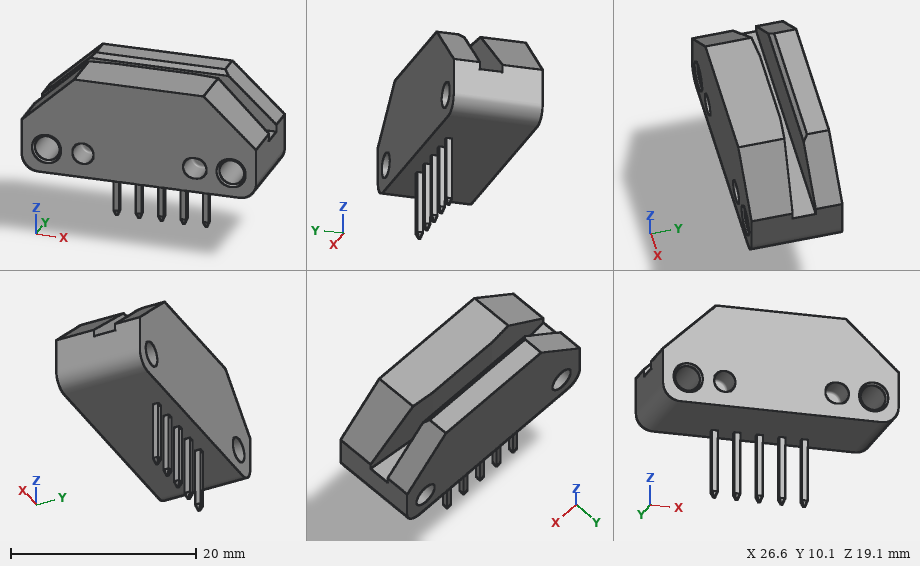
import cadquery as cq
import math

body_length = 26.62
body_depth = 10.11
body_height = 11.43
back_y = 2.07
front_y = back_y - body_depth
half_length = body_length / 2
top_half_length = 7.34
shoulder_height = 5.90
corner_radius = 1.905

slot_floor_z = 5.08
back_wall_thickness = 2.97
narrow_slot_width = 1.75
flare_start = 4.57
flare_angle = 5.4
lead_in = 0.51

hole_z = 2.80
mount_half_spacing = 10.48
mount_diameter = 2.80
mount_chamfer = 0.25

locator_half_spacing = 6.35
locator_radius = 1.20
locator_depth = 3.0
locator_floor_fillet = 0.25
oblong_stretch = 0.25

pin_count = 5
pin_pitch = 2.54
pin_width = 0.635
pin_length = 7.62
tip_length = 0.635
tip_width = 0.16


def make_body():
    outline = (
        cq.Workplane("XZ", origin=(0, back_y, 0))
        .moveTo(-half_length, 0)
        .lineTo(half_length, 0)
        .lineTo(half_length, shoulder_height)
        .lineTo(top_half_length, body_height)
        .lineTo(-top_half_length, body_height)
        .lineTo(-half_length, shoulder_height)
        .close()
    )
    return outline.extrude(body_depth).edges("|Y and <Z").fillet(corner_radius)


def make_slot():
    back_wall_y = back_y - back_wall_thickness
    narrow_y = back_wall_y - narrow_slot_width
    flared_y = narrow_y - (half_length - flare_start) * math.tan(math.radians(flare_angle))
    channel = (
        cq.Workplane("XY", origin=(0, 0, slot_floor_z))
        .moveTo(-half_length, back_wall_y)
        .lineTo(half_length, back_wall_y)
        .lineTo(half_length, flared_y)
        .lineTo(flare_start, narrow_y)
        .lineTo(-flare_start, narrow_y)
        .lineTo(-half_length, flared_y)
        .close()
        .extrude(body_height - slot_floor_z)
    )
    edge_chamfer = (
        cq.Workplane("YZ", origin=(-half_length, 0, 0))
        .moveTo(back_wall_y, body_height - lead_in)
        .lineTo(back_wall_y + lead_in, body_height)
        .lineTo(back_wall_y, body_height)
        .close()
        .extrude(body_length)
    )
    return channel.union(edge_chamfer)


def front_plane(x):
    """Plane on the front face at hole height, with its normal pointing into the body."""
    return cq.Plane(origin=(x, front_y, hole_z), xDir=(1, 0, 0), normal=(0, 1, 0))


def make_mount_hole(x):
    radius = mount_diameter / 2
    bore = cq.Workplane(front_plane(x)).circle(radius).extrude(body_depth)
    mouth = (
        cq.Workplane(front_plane(x))
        .circle(radius + mount_chamfer)
        .workplane(offset=mount_chamfer)
        .circle(radius)
        .loft()
    )
    return bore.union(mouth)


def make_locator_hole(x, stretch):
    mouth = cq.Workplane(front_plane(x))
    if stretch > 0:
        mouth = mouth.slot2D(2 * locator_radius + stretch, 2 * locator_radius)
    else:
        mouth = mouth.circle(locator_radius)
    return mouth.extrude(locator_depth).faces(">Y").edges().fillet(locator_floor_fillet)


def make_pin(x):
    shank_length = pin_length - tip_length
    shank = cq.Workplane("XY", origin=(x, 0, 0)).rect(pin_width, pin_width).extrude(-shank_length)
    tip = (
        cq.Workplane("XY", origin=(x, 0, -shank_length))
        .rect(pin_width, pin_width)
        .workplane(offset=-tip_length)
        .rect(tip_width, tip_width)
        .loft()
    )
    return shank.union(tip)


result = make_body().cut(make_slot())
for side in (-1, 1):
    result = result.cut(make_mount_hole(side * mount_half_spacing))
result = result.cut(make_locator_hole(-locator_half_spacing, 0))
result = result.cut(make_locator_hole(locator_half_spacing, oblong_stretch))
for index in range(pin_count):
    result = result.union(make_pin((index - (pin_count - 1) / 2) * pin_pitch))